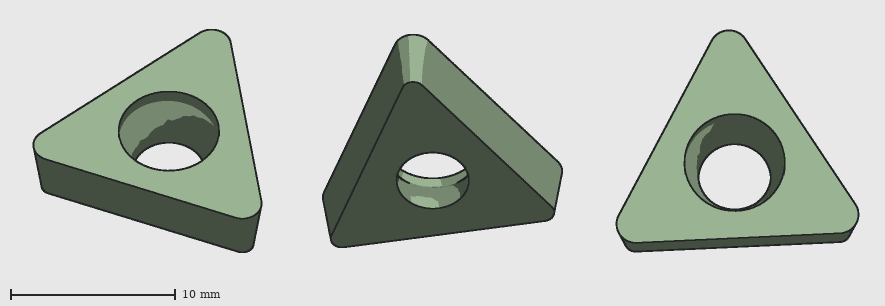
import cadquery as cq
import math

overall_width = 14.75
corner_radius = 1.18
thickness = 3.97
clearance_angle = 7.0

recess_diameter = 6.1
recess_depth = 0.81
blend_radius = 0.3
seat_radius = 3.69
bore_diameter = 4.4

corner_spacing = overall_width - 2 * corner_radius
corner_circle_radius = corner_spacing / math.sqrt(3)


def make_body():
    """Rounded triangle, full size on top and tapered to the base at Z = 0."""
    corners = [
        (
            corner_circle_radius * math.cos(math.radians(angle)),
            corner_circle_radius * math.sin(math.radians(angle)),
        )
        for angle in (90, 210, 330)
    ]
    return (
        cq.Workplane("XY", origin=(0, 0, thickness))
        .polyline(corners)
        .close()
        .offset2D(corner_radius, "arc")
        .extrude(-thickness, taper=clearance_angle)
    )


def arc_point(centre, radius, angle):
    """Point on a circle in the (radius, height) section of the hole, angle in radians."""
    return (centre[0] + radius * math.cos(angle), centre[1] + radius * math.sin(angle))


def make_screw_hole():
    """Revolved cutter: the blend and seat arcs run tangent into each other and both walls."""
    recess_r = recess_diameter / 2
    bore_r = bore_diameter / 2
    blend_top_z = thickness - recess_depth

    arc_radii = blend_radius + seat_radius
    turn = math.acos(1 - (recess_r - bore_r) / arc_radii)
    seat_bottom_z = blend_top_z - arc_radii * math.sin(turn)
    seat_centre = (bore_r + seat_radius, seat_bottom_z)
    blend_centre = (recess_r - blend_radius, blend_top_z)

    return (
        cq.Workplane("XZ")
        .lineTo(bore_r, 0)
        .lineTo(bore_r, seat_bottom_z)
        .threePointArc(
            arc_point(seat_centre, seat_radius, math.pi - turn / 2),
            arc_point(seat_centre, seat_radius, math.pi - turn),
        )
        .threePointArc(
            arc_point(blend_centre, blend_radius, -turn / 2),
            (recess_r, blend_top_z),
        )
        .lineTo(recess_r, thickness)
        .lineTo(0, thickness)
        .close()
        .revolve(360, (0, 0, 0), (0, 1, 0))
    )


result = make_body().cut(make_screw_hole())